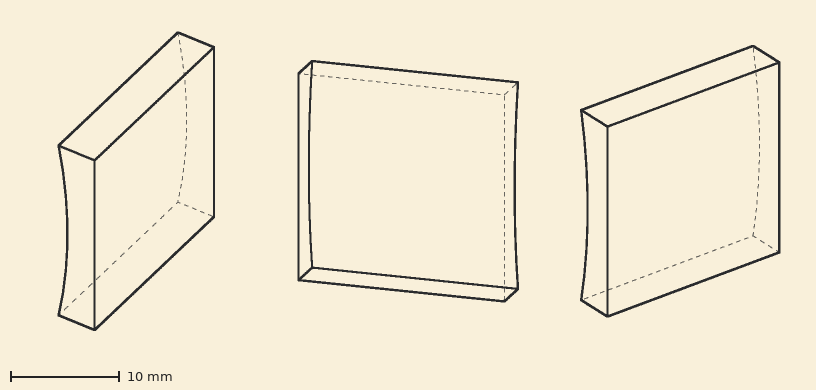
import cadquery as cq

side = 20.0
edge_thickness = 3.98
middle_thickness = 3.0

half_side = side / 2
hollow_depth = edge_thickness - middle_thickness

result = (
    cq.Workplane("XZ")
    .moveTo(0, -half_side)
    .lineTo(edge_thickness, -half_side)
    .lineTo(edge_thickness, half_side)
    .lineTo(0, half_side)
    .threePointArc((hollow_depth, 0), (0, -half_side))
    .close()
    .extrude(half_side, both=True)
)